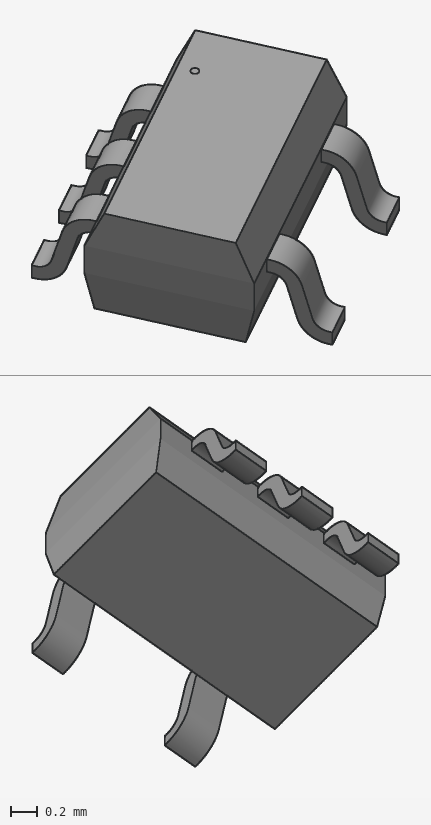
import cadquery as cq
import math

lead_span = 2.39
body_width = 1.35
body_length = 2.21

body_bottom = 0.103
band_bottom = 0.46
band_top = 0.735
body_top = 1.09

top_inset_x = 0.153
bottom_inset_x = 0.075
end_inset_y = 0.02

lead_thickness = 0.127
lead_width = 0.3
lead_pitch = 0.65
lead_top = 0.722
inner_radius = 0.131
outer_radius = inner_radius + lead_thickness
shank_angle = math.radians(75)
foot_flat = 0.03

marker_diameter = 0.067
marker_depth = 0.025
marker_x = -0.38
marker_y = lead_pitch


def housing_frustum(bottom_z, bottom_inset, top_z, top_inset):
    """Ruled block between two rectangles, each given by its (X, Y) inset per side."""
    return (
        cq.Workplane("XY", origin=(0, 0, bottom_z))
        .rect(body_width - 2 * bottom_inset[0], body_length - 2 * bottom_inset[1])
        .workplane(offset=top_z - bottom_z)
        .rect(body_width - 2 * top_inset[0], body_length - 2 * top_inset[1])
        .loft(ruled=True)
    )


def marker_disc():
    """Disc set flush into the top of the housing."""
    return (
        cq.Workplane("XY", origin=(marker_x, marker_y, body_top - marker_depth))
        .circle(marker_diameter / 2)
        .extrude(marker_depth)
    )


def make_housing():
    """Straight middle band with a tapered block above and below, and the marker recess."""
    no_inset = (0, 0)
    lower = housing_frustum(body_bottom, (bottom_inset_x, end_inset_y), band_bottom, no_inset)
    band = (
        cq.Workplane("XY", origin=(0, 0, band_bottom))
        .rect(body_width, body_length)
        .extrude(band_top - band_bottom)
    )
    upper = housing_frustum(band_top, no_inset, body_top, (top_inset_x, end_inset_y))
    return lower.union(band).union(upper).cut(marker_disc())


def arc_point(center, radius, angle):
    """Point in the XZ plane at an angle measured from +X."""
    return (center[0] + radius * math.cos(angle), center[1] + radius * math.sin(angle))


def make_lead(y):
    """Lead on the -X side: flat foot, two equal bends, straight shank and a short neck."""
    foot_x = -lead_span / 2
    neck_x = -body_width / 2

    foot_center = (foot_x + foot_flat, outer_radius)
    neck_center_z = lead_top - outer_radius
    rise = neck_center_z - foot_center[1]
    center_gap = inner_radius + outer_radius
    shank_length = (rise + center_gap * math.cos(shank_angle)) / math.sin(shank_angle)
    center_run = center_gap * math.sin(shank_angle) + shank_length * math.cos(shank_angle)
    neck_center = (foot_center[0] + center_run, neck_center_z)

    foot_start = -math.pi / 2
    foot_end = foot_start + shank_angle
    foot_mid = foot_start + shank_angle / 2
    neck_start = math.pi / 2 + shank_angle
    neck_mid = math.pi / 2 + shank_angle / 2
    neck_end = math.pi / 2

    profile = (
        cq.Workplane("XZ", origin=(0, y + lead_width / 2, 0))
        .moveTo(foot_x, 0)
        .lineTo(foot_center[0], 0)
        .threePointArc(
            arc_point(foot_center, outer_radius, foot_mid),
            arc_point(foot_center, outer_radius, foot_end),
        )
        .lineTo(*arc_point(neck_center, inner_radius, neck_start))
        .threePointArc(
            arc_point(neck_center, inner_radius, neck_mid),
            arc_point(neck_center, inner_radius, neck_end),
        )
        .lineTo(neck_x, lead_top - lead_thickness)
        .lineTo(neck_x, lead_top)
        .lineTo(neck_center[0], lead_top)
        .threePointArc(
            arc_point(neck_center, outer_radius, neck_mid),
            arc_point(neck_center, outer_radius, neck_start),
        )
        .lineTo(*arc_point(foot_center, inner_radius, foot_end))
        .threePointArc(
            arc_point(foot_center, inner_radius, foot_mid),
            arc_point(foot_center, inner_radius, foot_start),
        )
        .lineTo(foot_x, lead_thickness)
        .close()
    )
    return profile.extrude(lead_width)


housing = make_housing()
marker = marker_disc()

leads = []
for row in (-1, 0, 1):
    left_lead = make_lead(row * lead_pitch)
    leads.append(left_lead.val())
    if row != 0:
        leads.append(left_lead.mirror("YZ").val())

result = cq.Compound.makeCompound([housing.val(), marker.val(), *leads])